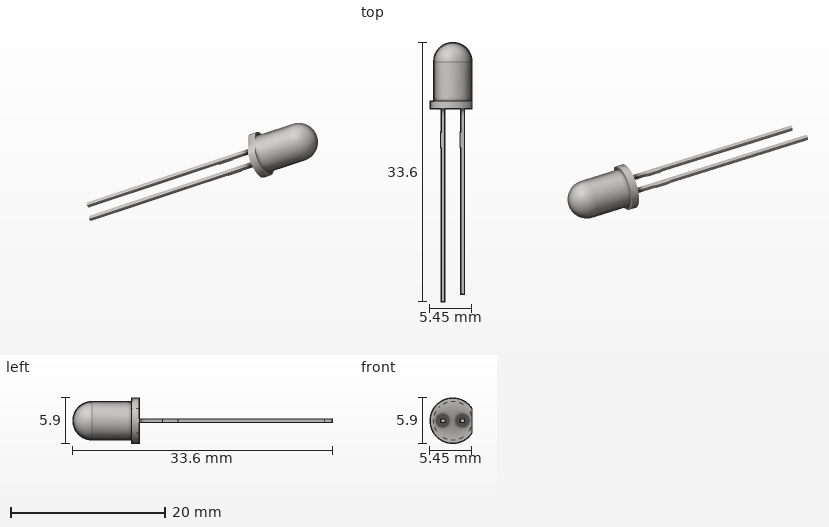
import cadquery as cq

lens_radius = 2.5
body_length = 8.6
dome_start = body_length - lens_radius

flange_radius = 2.95
flange_thickness = 1.0
flat_offset = lens_radius

lead_width = 0.5
lead_pitch = 2.54
long_lead_length = 25.0
short_lead_length = 24.0

step_start = 3.0
step_length = 2.0
step_height = 0.1


def make_body():
    """Revolve the lens and flange profile about Y, then cut the flat."""
    dome_mid = lens_radius * 0.5**0.5
    body = (
        cq.Workplane("XY")
        .lineTo(flange_radius, 0)
        .lineTo(flange_radius, flange_thickness)
        .lineTo(lens_radius, flange_thickness)
        .lineTo(lens_radius, dome_start)
        .threePointArc((dome_mid, dome_start + dome_mid), (0, body_length))
        .close()
        .revolve(360, (0, 0, 0), (0, 1, 0))
    )
    flat_cutter = cq.Workplane("XY").box(
        flange_radius, flange_thickness, 2 * flange_radius, centered=(False, False, True)
    )
    return body.cut(flat_cutter.translate((flat_offset, 0, 0)))


def make_lead(center_x, length):
    """Extrude one lead, with its standoff step, from an outline in the XY plane."""
    right = center_x + lead_width / 2
    left = center_x - lead_width / 2
    step_left = left - step_height
    step_end = step_start + step_length
    return (
        cq.Workplane("XY")
        .moveTo(right, 0)
        .lineTo(right, -length)
        .lineTo(left, -length)
        .lineTo(left, -step_end)
        .lineTo(step_left, -step_end)
        .lineTo(step_left, -step_start)
        .lineTo(left, -step_start)
        .lineTo(left, 0)
        .close()
        .extrude(lead_width / 2, both=True)
    )


long_lead = make_lead(-lead_pitch / 2, long_lead_length)
short_lead = make_lead(lead_pitch / 2, short_lead_length)
result = make_body().union(long_lead).union(short_lead)